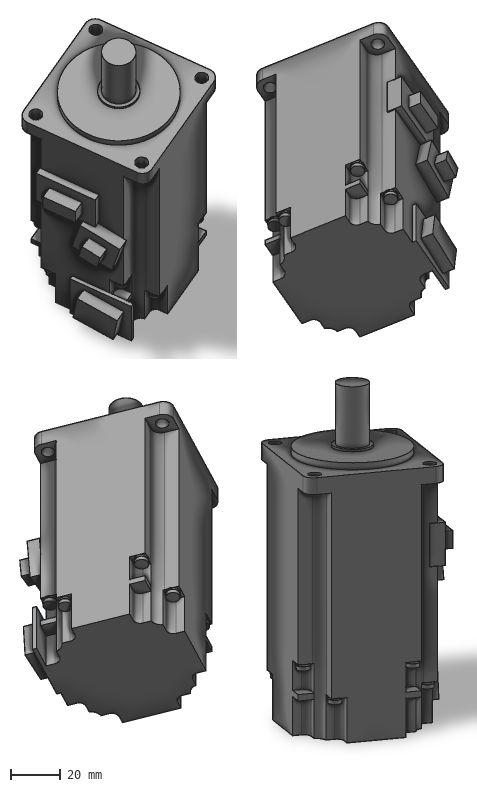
import cadquery as cq


side = 60.07
half_side = side / 2
overall_depth = 70.84
total_height = 143.4
shaft_length = 30.0
flange_top = total_height - shaft_length
flange_thickness = 7.1
flange_bottom = flange_top - flange_thickness
corner_radius = 4.5
mount_hole_diameter = 5.5
mount_hole_offset = 24.75

pilot_diameter = 50.0
pilot_height = 3.0
collar_diameter = 17.2
collar_height = 1.0
shaft_diameter = 14.0

notch_width = 10.7
notch_radius = 4.5

pocket_end = 17.4
pocket_depth = 6.9
pocket_radius = 3.1
motor_pocket_top = 31.7
cover_pocket_top = 19.2
cover_tab_thickness = 2.7

screw_from_corner = 13.4
motor_screw_from_face = 3.1
cover_screw_from_face = 3.6
screw_head_diameter = 5.7
screw_stack_height = 2.7
washer_diameter = 6.1
washer_thickness = 0.9

front_face = -half_side
signal_center = (-6.0, 77.3)
signal_plate_size = (27.7, 18.3)
signal_plug_center = (-6.0, 77.0)
signal_plug_size = (15.2, 7.5)
signal_plate_back = -26.5
signal_plate_front = -33.15
signal_plug_front = -38.5

power_center = (9.4, 57.7)
power_plate_size = (19.1, 17.1)
power_plug_size = (8.8, 7.6)
power_tilt = 13.0
power_plate_front = -35.4
power_plug_front = half_side - overall_depth

encoder_plate_size = (28.6, 23.2)
encoder_plate_center = (9.6, encoder_plate_size[1] / 2)
encoder_plug_center = (10.0, 11.7)
encoder_plug_size = (18.9, 14.2)
encoder_tilt = 8.0
encoder_plate_front = -31.8
encoder_plug_front = -37.1


def disc(diameter, bottom, top, center=(0, 0)):
    """Upright cylinder between two heights."""
    plane = cq.Workplane("XY", origin=(center[0], center[1], bottom))
    return plane.circle(diameter / 2).extrude(top - bottom)


def corner_block(x_from, x_to, y_from, y_to, bottom, top):
    """Block measured inward from the -X and -Y faces."""
    size = (x_to - x_from, y_to - y_from, top - bottom)
    corner = cq.Vector(x_from - half_side, y_from - half_side, bottom)
    return cq.Workplane("XY").box(*size, centered=False).translate(corner)


def corner_notch():
    """Square notch at the (-X, -Y) corner with a rounded inner edge."""
    notch = corner_block(0, notch_width, 0, notch_width, 0, flange_bottom)
    return notch.edges("|Z and >X and >Y").fillet(notch_radius)


def motor_screw_pocket():
    """Tall pocket in the -X face, interrupted by the tab of the rear cover."""
    pocket = corner_block(0, pocket_depth, 0, pocket_end, 0, motor_pocket_top)
    pocket = pocket.edges("|Z and >X and >Y").fillet(pocket_radius)
    tab_bottom = cover_pocket_top - cover_tab_thickness
    tab = corner_block(0, pocket_depth, notch_width, pocket_end, tab_bottom, cover_pocket_top)
    return pocket.cut(tab)


def cover_screw_pocket():
    """Short pocket in the -Y face, open at the bottom."""
    pocket = corner_block(0, pocket_end, 0, pocket_depth, 0, cover_pocket_top)
    return pocket.edges("|Z and >X and >Y").fillet(pocket_radius)


def screw_head(x_inset, y_inset, ceiling):
    """Washer and screw head below a pocket ceiling."""
    center = (x_inset - half_side, y_inset - half_side)
    washer = disc(washer_diameter, ceiling - washer_thickness, ceiling, center)
    head = disc(screw_head_diameter, ceiling - screw_stack_height, ceiling, center)
    return washer.union(head)


def tilted_block(center, size, back, front, tilt=0.0):
    """Block on the -Y side, turned clockwise by tilt degrees as seen from -Y."""
    plane = cq.Workplane("XZ", origin=(center[0], back, center[1]))
    return plane.transformed(rotate=(0, 0, -tilt)).rect(*size).extrude(back - front)


def housing():
    """Square body and flange with rounded corners, notches, pockets and screws."""
    body = cq.Workplane("XY").rect(side, side).extrude(flange_top)
    body = body.edges("|Z").fillet(corner_radius)
    cutter = corner_notch().union(motor_screw_pocket()).union(cover_screw_pocket())
    screws = screw_head(motor_screw_from_face, screw_from_corner, motor_pocket_top)
    screws = screws.union(screw_head(screw_from_corner, cover_screw_from_face, cover_pocket_top))
    for angle in (0, 90, 180, 270):
        body = body.cut(cutter.rotate((0, 0, 0), (0, 0, 1), angle))
        body = body.union(screws.rotate((0, 0, 0), (0, 0, 1), angle))
    for x in (-mount_hole_offset, mount_hole_offset):
        for y in (-mount_hole_offset, mount_hole_offset):
            body = body.cut(disc(mount_hole_diameter, flange_bottom, flange_top, (x, y)))
    return body


def shaft_end():
    """Pilot, collar and output shaft stacked on the flange."""
    pilot_top = flange_top + pilot_height
    pilot = disc(pilot_diameter, flange_top, pilot_top)
    collar = disc(collar_diameter, pilot_top, pilot_top + collar_height)
    shaft = disc(shaft_diameter, pilot_top, total_height)
    return pilot.union(collar).union(shaft)


def connectors():
    """Signal, power and encoder connectors on the -Y face."""
    blocks = [
        tilted_block(signal_center, signal_plate_size, signal_plate_back, signal_plate_front),
        tilted_block(signal_plug_center, signal_plug_size, signal_plate_front, signal_plug_front),
        tilted_block(power_center, power_plate_size, front_face, power_plate_front, power_tilt),
        tilted_block(power_center, power_plug_size, power_plate_front, power_plug_front, power_tilt),
        tilted_block(encoder_plate_center, encoder_plate_size, front_face, encoder_plate_front),
        tilted_block(
            encoder_plug_center, encoder_plug_size, encoder_plate_front, encoder_plug_front, encoder_tilt
        ),
    ]
    group = blocks[0]
    for block in blocks[1:]:
        group = group.union(block)
    return group


result = housing().union(shaft_end()).union(connectors())